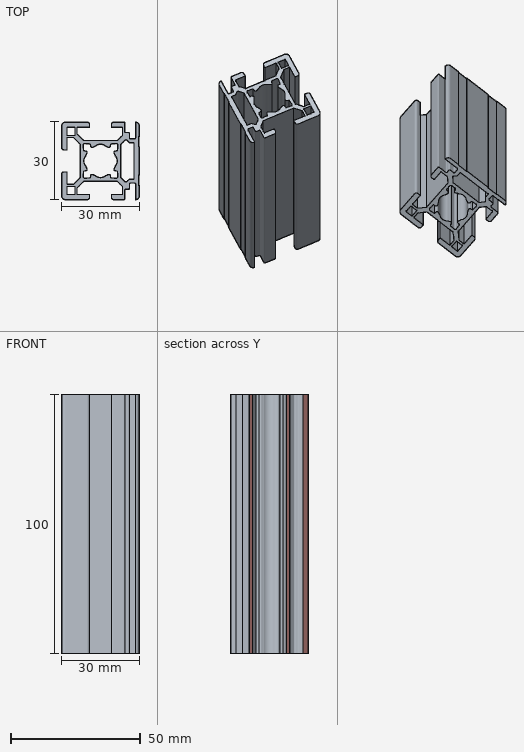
import cadquery as cq
import math

side = 30.0
length = 100.0
half = side / 2
outside = half + 1
corner_radius = 1.5

lip_thickness = 2.1
slot_half_opening = 4.2
lip_edge_radius = 0.9
lip_inner = half - lip_thickness
slot_end = 9.0
slot_taper_start = 10.4
core_half = 7.9
core_flat_half = slot_end + core_half - slot_taper_start

hollow_near = 9.9

web_inner = 8.4
web_outer = 9.4
step_x = 11.2
step_y = 11.0
groove_floor_y = 8.6
flange_inner = 13.5
web_edge_radius = 0.4
step_root_radius = 0.3
step_edge_radius = 0.5
groove_floor_radius = 0.3

chamber_flat_half = 6.4
chamber_peak_y = 8.3
chamber_side_y = 7.0
chamber_outer = 12.9
chamber_bend_radius = 0.5

face_groove_depth = 0.2
face_groove_near = 5.4
face_groove_far = 9.5

bore_radius = 6.0
recess_reach = 6.4
recess_radius = 3.0
pocket_corner = 6.7
pocket_edge = 6.5
pocket_corner_radius = 0.6
tooth_root = 4.0
tooth_tip_angle = 37.5
tooth_tip_radius = 0.6


def prism(points):
    """Extrude a closed polygon over the full length."""
    return cq.Workplane("XY").polyline(points).close().extrude(length)


def block(x_min, x_max, y_min, y_max):
    """Box over the full length between the given X and Y limits."""
    return prism([(x_min, y_min), (x_max, y_min), (x_max, y_max), (x_min, y_max)])


def both_sides(half_points):
    """Close a half outline (y >= 0) with its mirror image about the X axis."""
    return half_points + [(x, -y) for x, y in reversed(half_points)]


def rotated(body, angle):
    return body.rotate((0, 0, 0), (0, 0, 1), angle)


def mirrored_pair(body):
    return body.union(body.mirror("XZ"))


def edges_at(body, x, y):
    """Lengthwise edges through the point (x, y)."""
    reach = 0.05
    low_corner = (x - reach, y - reach, 0)
    high_corner = (x + reach, y + reach, length)
    return body.edges(cq.selectors.BoxSelector(low_corner, high_corner)).edges("|Z")


def left_slot():
    """T-slot open towards -X."""
    return prism(both_sides([
        (-outside, slot_half_opening),
        (-lip_inner, slot_half_opening),
        (-lip_inner, slot_end),
        (-slot_taper_start, slot_end),
        (-core_half, core_flat_half),
    ]))


def top_slot():
    """T-slot open towards +Y."""
    right_taper_y = core_half + web_inner - core_flat_half
    return prism([
        (-slot_half_opening, outside),
        (-slot_half_opening, lip_inner),
        (-slot_end, lip_inner),
        (-slot_end, slot_taper_start),
        (-core_flat_half, core_half),
        (core_flat_half, core_half),
        (web_inner, right_taper_y),
        (web_inner, lip_inner),
        (slot_half_opening, lip_inner),
        (slot_half_opening, outside),
    ])


def stepped_groove():
    """Stepped groove beside the closed side, open towards +Y."""
    return prism([
        (web_outer, outside),
        (web_outer, step_y),
        (step_x, step_y),
        (step_x, groove_floor_y),
        (flange_inner, groove_floor_y),
        (flange_inner, outside),
    ])


def side_chamber():
    """Enclosed chamber between the core and the closed side."""
    peak_x = core_half + chamber_peak_y - chamber_flat_half
    side_start_x = peak_x + chamber_peak_y - chamber_side_y
    chamber = prism(both_sides([
        (core_half, chamber_flat_half),
        (peak_x, chamber_peak_y),
        (side_start_x, chamber_side_y),
        (chamber_outer, chamber_side_y),
    ]))
    for sign in (1, -1):
        for x, y in ((peak_x, chamber_peak_y), (side_start_x, chamber_side_y)):
            chamber = edges_at(chamber, x, sign * y).fillet(chamber_bend_radius)
    return chamber


def central_bore():
    """Bore with side recesses and corner pockets, leaving eight rounded teeth."""
    bore = cq.Workplane("XY").circle(bore_radius).extrude(length)
    recess_center = recess_reach - recess_radius
    recess = cq.Workplane("XY").center(recess_center, 0).circle(recess_radius).extrude(length)
    tip_near = bore_radius * math.sin(math.radians(tooth_tip_angle))
    tip_far = bore_radius * math.cos(math.radians(tooth_tip_angle))
    corner_pocket = prism([
        (0, 0),
        (tip_far, tip_near),
        (pocket_edge, tooth_root),
        (pocket_corner, pocket_corner),
        (tooth_root, pocket_edge),
        (tip_near, tip_far),
    ])
    corner_pocket = edges_at(corner_pocket, pocket_corner, pocket_corner).fillet(pocket_corner_radius)
    for quarter in range(4):
        bore = bore.union(rotated(recess, 90 * quarter))
        bore = bore.union(rotated(corner_pocket, 90 * quarter))
    for x, y in ((tip_near, tip_far), (tip_far, tip_near)):
        for x_sign in (1, -1):
            for y_sign in (1, -1):
                bore = edges_at(bore, x_sign * x, y_sign * y).fillet(tooth_tip_radius)
    return bore


profile = block(-half, half, -half, half).edges("|Z").fillet(corner_radius)

profile = profile.cut(left_slot())
profile = profile.cut(mirrored_pair(top_slot()))
profile = profile.cut(mirrored_pair(stepped_groove()))
corner_hollow = block(-lip_inner, -hollow_near, hollow_near, lip_inner)
profile = profile.cut(mirrored_pair(corner_hollow))
face_groove = block(half - face_groove_depth, outside, face_groove_near, face_groove_far)
profile = profile.cut(mirrored_pair(face_groove))
profile = profile.cut(side_chamber())
profile = profile.cut(central_bore())

for sign in (1, -1):
    for x, y in (
        (-half, slot_half_opening),
        (-slot_half_opening, half),
        (slot_half_opening, half),
    ):
        profile = edges_at(profile, x, sign * y).fillet(lip_edge_radius)
    profile = edges_at(profile, web_outer, sign * half).fillet(web_edge_radius)
    profile = edges_at(profile, web_outer, sign * step_y).fillet(step_root_radius)
    profile = edges_at(profile, step_x, sign * step_y).fillet(step_edge_radius)
    for x in (step_x, flange_inner):
        profile = edges_at(profile, x, sign * groove_floor_y).fillet(groove_floor_radius)

result = profile